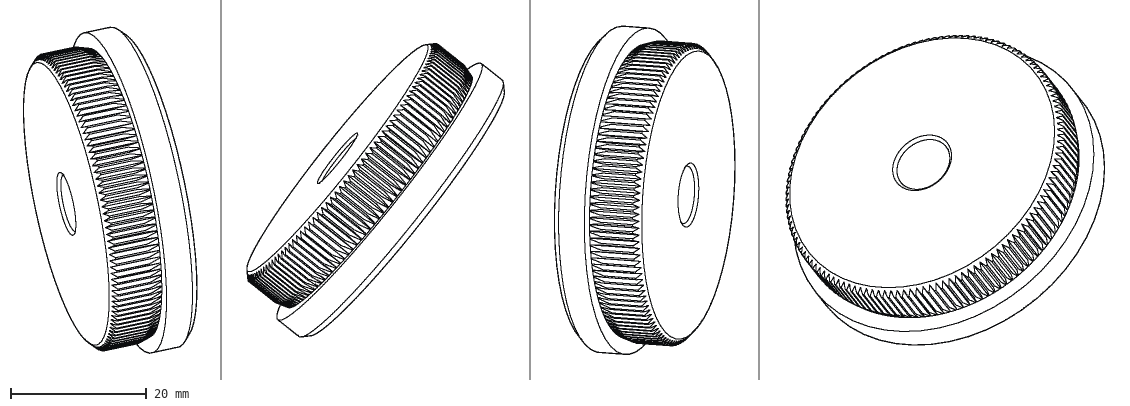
import cadquery as cq
import math

outer_diameter = 48.3
total_depth = 13.0

flange_thickness = 5.0
flange_chamfer = 1.0

plug_radius = 22.35
plug_chamfer = 1.05
neck_radius = 21.8
neck_length = 1.9

tooth_count = 130
groove_root_radius = 21.65
flank_apex_radius = 22.6

bore_diameter = 8.5
bore_chamfer = 0.5

flange_radius = outer_diameter / 2
flange_start = total_depth - flange_thickness


def make_flange():
    """Round flange with a chamfered far edge."""
    return (
        cq.Workplane("XZ", origin=(0, flange_start, 0))
        .circle(flange_radius)
        .extrude(-flange_thickness)
        .faces(">Y")
        .chamfer(flange_chamfer)
    )


def make_plug_blank():
    """Turned plug: end chamfer, straight rim and a taper down to the neck."""
    return (
        cq.Workplane("XY")
        .moveTo(0, 0)
        .lineTo(plug_radius - plug_chamfer, 0)
        .lineTo(plug_radius, plug_chamfer)
        .lineTo(plug_radius, flange_start - neck_length)
        .lineTo(neck_radius, flange_start)
        .lineTo(0, flange_start)
        .close()
        .revolve(360, (0, 0, 0), (0, 1, 0))
    )


def make_serration_star():
    """Star-shaped prism; a tooth points along X and a groove lies on Z."""
    half_pitch = math.pi / tooth_count
    points = []
    for tooth in range(tooth_count):
        apex_angle = 2 * tooth * half_pitch
        root_angle = apex_angle + half_pitch
        for radius, angle in ((flank_apex_radius, apex_angle), (groove_root_radius, root_angle)):
            points.append((radius * math.cos(angle), radius * math.sin(angle)))
    return cq.Workplane("XZ").polyline(points).close().extrude(-flange_start)


def make_bore():
    """Through bore together with the cone of its mouth chamfer."""
    bore_radius = bore_diameter / 2
    return (
        cq.Workplane("XY")
        .moveTo(0, 0)
        .lineTo(bore_radius + bore_chamfer, 0)
        .lineTo(bore_radius, bore_chamfer)
        .lineTo(bore_radius, total_depth)
        .lineTo(0, total_depth)
        .close()
        .revolve(360, (0, 0, 0), (0, 1, 0))
    )


plug = make_plug_blank().intersect(make_serration_star())
result = make_flange().union(plug).cut(make_bore())